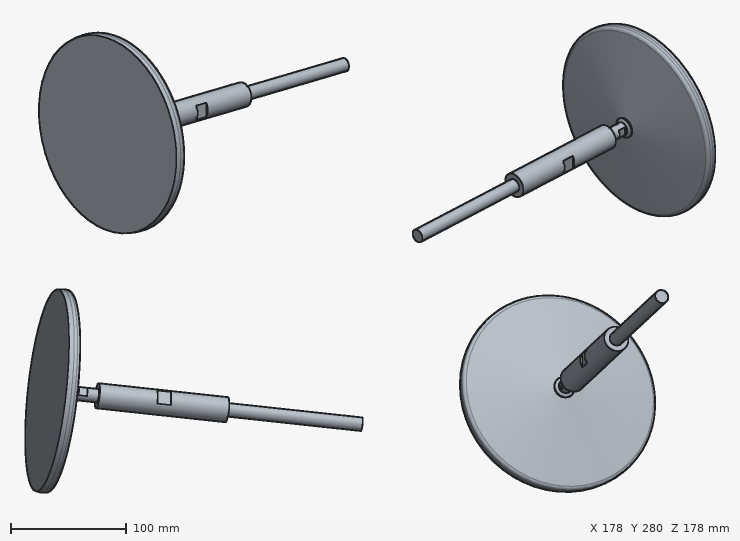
import cadquery as cq

total_length = 280.0

rim_diameter = 178.0
underside_inset = 0.7
taper_height = 4.2
rim_top_height = 10.0
rim_round = 3.5
cone_top_height = 22.7
collar_diameter = 18.5
collar_top_height = 25.5
collar_edge_height = 23.8

spindle_diameter = 12.0
spindle_across_flats = 9.0
spindle_flat_start = 27.2
spindle_flat_length = 7.5

sleeve_diameter = 22.0
sleeve_start = 44.8
sleeve_length = 115.0
sleeve_across_flats = 18.0
sleeve_flat_length = 12.0
sleeve_flat_start = sleeve_start + (sleeve_length - sleeve_flat_length) / 2


def cylinder_along_y(diameter, start, length):
    base = cq.Workplane("XZ", origin=(0, start, 0))
    return base.circle(diameter / 2).extrude(-length)


def cut_wrench_flats(body, diameter, across_flats, start, length):
    """Cut two opposite flats, facing -X and +X, into a round body."""
    depth = (diameter - across_flats) / 2
    offset = (across_flats + depth) / 2
    for side in (-1, 1):
        cutter = cq.Workplane("XY").box(depth, length, diameter)
        body = body.cut(cutter.translate((side * offset, start + length / 2, 0)))
    return body


def make_foot():
    rim_radius = rim_diameter / 2
    collar_radius = collar_diameter / 2
    foot = (
        cq.Workplane("XY")
        .lineTo(rim_radius - underside_inset, 0)
        .lineTo(rim_radius, taper_height)
        .lineTo(rim_radius, rim_top_height)
        .lineTo(collar_radius, cone_top_height)
        .lineTo(collar_radius, collar_edge_height)
        .lineTo(spindle_diameter / 2, collar_top_height)
        .lineTo(0, collar_top_height)
        .close()
        .revolve(360, (0, 0, 0), (0, 1, 0))
    )
    return foot.edges(cq.selectors.RadiusNthSelector(-1)).edges(">Y").fillet(rim_round)


def make_spindle():
    spindle = cylinder_along_y(spindle_diameter, collar_top_height, total_length - collar_top_height)
    return cut_wrench_flats(
        spindle, spindle_diameter, spindle_across_flats, spindle_flat_start, spindle_flat_length
    )


def make_sleeve():
    sleeve = cylinder_along_y(sleeve_diameter, sleeve_start, sleeve_length)
    sleeve = cut_wrench_flats(
        sleeve, sleeve_diameter, sleeve_across_flats, sleeve_flat_start, sleeve_flat_length
    )
    bore = cylinder_along_y(spindle_diameter, sleeve_start, sleeve_length)
    return sleeve.cut(bore)


foot = make_foot()
spindle = make_spindle()
sleeve = make_sleeve()

result = cq.Compound.makeCompound([foot.val(), spindle.val(), sleeve.val()])